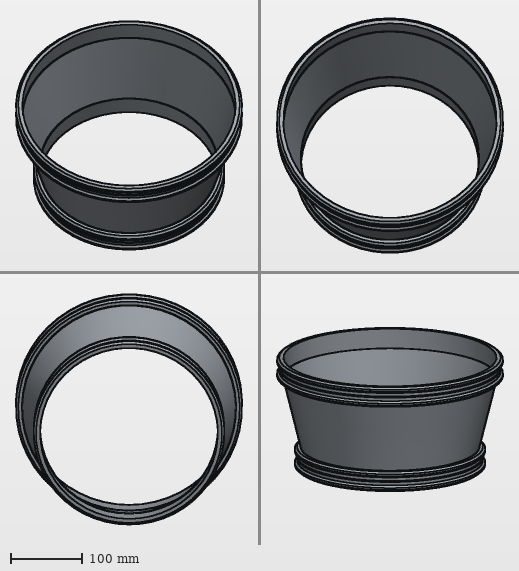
import cadquery as cq

total_height = 159.0
ring_height = 28.5
wide_outer_diameter = 318.5
wide_inner_diameter = 300.0
narrow_outer_diameter = 268.5
narrow_inner_diameter = 250.0

flange_depth = 3.35
flange_chamfer_height = 3.0
flange_rim_height = 3.0
bead_height = 2.0
bead_depth = 1.0

wall_thickness = 1.0

flange_height = 2 * flange_chamfer_height + flange_rim_height
cone_height = total_height - 2 * ring_height


def revolve_profile(points):
    """Revolve a closed (radius, height) outline about the Z axis."""
    return cq.Workplane("XZ").polyline(points).close().revolve(360, (0, 0, 0), (0, 1, 0))


def make_ring(outer_diameter, inner_diameter, base_height):
    """Grooved coupling ring whose lower face lies at base_height."""
    rim_radius = outer_diameter / 2
    web_radius = rim_radius - flange_depth
    bead_radius = web_radius + bead_depth
    bore_radius = inner_diameter / 2
    rim_start = flange_chamfer_height
    rim_end = rim_start + flange_rim_height
    bead_start = (ring_height - bead_height) / 2

    lower_half = [
        (web_radius, 0),
        (rim_radius, rim_start),
        (rim_radius, rim_end),
        (web_radius, flange_height),
        (web_radius, bead_start),
    ]
    upper_half = [(radius, ring_height - height) for radius, height in reversed(lower_half)]
    bead_apex = (bead_radius, ring_height / 2)
    outline = [
        (bore_radius, 0),
        *lower_half,
        bead_apex,
        *upper_half,
        (bore_radius, ring_height),
    ]
    return revolve_profile(outline).translate((0, 0, base_height))


def make_cone():
    """Thin conical shell spanning the gap between the two rings."""
    bottom_radius = narrow_inner_diameter / 2
    top_radius = wide_inner_diameter / 2
    bottom_height = ring_height
    top_height = ring_height + cone_height
    return revolve_profile([
        (bottom_radius, bottom_height),
        (bottom_radius + wall_thickness, bottom_height),
        (top_radius + wall_thickness, top_height),
        (top_radius, top_height),
    ])


narrow_ring = make_ring(narrow_outer_diameter, narrow_inner_diameter, 0)
cone = make_cone()
wide_ring = make_ring(wide_outer_diameter, wide_inner_diameter, ring_height + cone_height)

result = cq.Compound.makeCompound([narrow_ring.val(), cone.val(), wide_ring.val()])